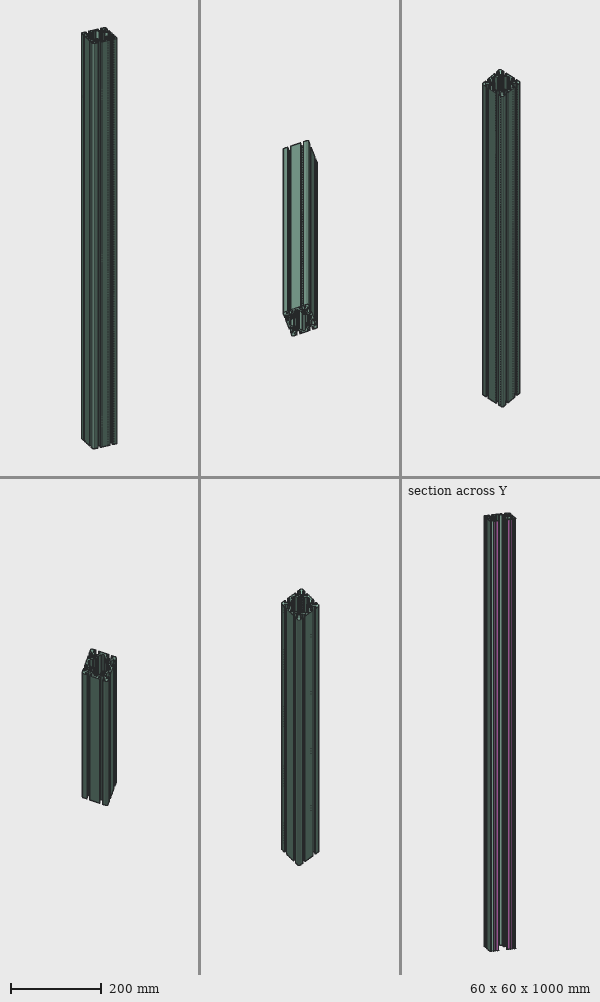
import cadquery as cq

length = 1000
side = 60
half = side / 2
corner_radius = 3.3
slot_offset = side / 4

slot_opening = 6.6
slot_inner_width = 15.0
slot_floor_width = 5.6
lip_depth_at_opening = 3.5
lip_depth_at_side = 2.8
shoulder_depth = 4.4
slot_depth = 8.6

core_bore_diameter = 5.0
core_notch_width = 2.0
core_notch_span = 10.0

inner_corner = 9.4
arm_root_half_width = 10.0
arm_root_reach = 14.0
arm_half_width = 8.6
arm_narrow_reach = 17.0
arm_end_chamfer = 4.4
arm_end_wall = 6.6
arm_reach = half - arm_end_wall
arm_groove_width = 5.4
arm_groove_depth = 2.4


def symmetric_prism(right_edge):
    """Full-length prism from the right half of an outline, mirrored about X = 0."""
    left_edge = [(-x, y) for x, y in reversed(right_edge)]
    return cq.Workplane("XY").polyline(right_edge + left_edge).close().extrude(length)


def turned(cutter, angle):
    """The cutter turned about the part's Z axis."""
    return cutter.rotate((0, 0, 0), (0, 0, 1), angle)


def slot_cutter():
    """T-slot with sloping lower sides, open to the +Y face and centred on X = 0."""
    return symmetric_prism([
        (slot_opening / 2, half),
        (slot_opening / 2, half - lip_depth_at_opening),
        (slot_inner_width / 2, half - lip_depth_at_side),
        (slot_inner_width / 2, half - shoulder_depth),
        (slot_floor_width / 2, half - slot_depth),
    ])


def arm_cutter():
    """One arm of the cavity, beyond the inner square towards +Y, with a groove in its end."""
    return symmetric_prism([
        (inner_corner, inner_corner),
        (arm_root_half_width, arm_root_reach),
        (arm_half_width, arm_narrow_reach),
        (arm_half_width, arm_reach - arm_end_chamfer),
        (arm_half_width - arm_end_chamfer, arm_reach),
        (arm_groove_width / 2, arm_reach),
        (arm_groove_width / 2, arm_reach + arm_groove_depth),
    ])


def core_cutter():
    """Round core bore with an X of notches, centred on the Z axis."""
    bore = cq.Workplane("XY").circle(core_bore_diameter / 2).extrude(length)
    for angle in (45, 135):
        notches = cq.Workplane("XY").rect(core_notch_span, core_notch_width).extrude(length)
        bore = bore.union(turned(notches, angle))
    return bore


result = cq.Workplane("XY").rect(side, side).extrude(length).edges("|Z").fillet(corner_radius)

result = result.cut(cq.Workplane("XY").rect(2 * inner_corner, 2 * inner_corner).extrude(length))

for quarter in range(4):
    angle = 90 * quarter
    result = result.cut(turned(arm_cutter(), angle))
    for offset in (-slot_offset, slot_offset):
        result = result.cut(turned(slot_cutter().translate((offset, 0, 0)), angle))
    core = core_cutter().translate((slot_offset, slot_offset, 0))
    result = result.cut(turned(core, angle))